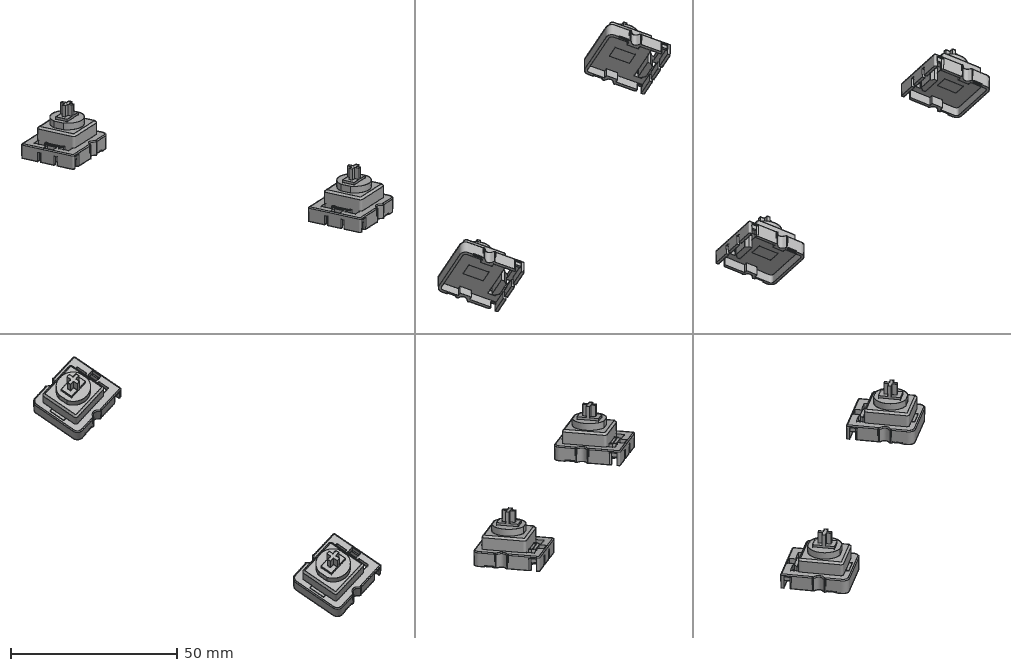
import cadquery as cq
import math

unit_pitch = 100.0

base_width = 18.3
base_back = 9.0
base_front = -11.8
base_height = 4.7
back_corner_radius = 2.0
front_corner_radius = 0.4
top_edge_chamfer = 0.35
chamfer_angle = 45.0
draft = 1.2
wall = 1.0
ceiling = 3.0

block_width = 13.2
block_length = 13.8
block_top = 9.05
block_corner_radius = 0.8
block_chamfer = 0.65
collar_diameter = 10.4
collar_flat_span = 9.9
collar_top = 11.2

lip_reach = 0.15
lip_half_length = 1.9
lip_foot_half_length = 2.15
notch_half_mouth = 1.6
notch_half_floor = 0.8
notch_edge_depth = 0.8
notch_depth = 1.1

channel_back = -9.0
channel_front = -10.75
channel_height = 2.5

inset_back = -8.4
inset_top = 3.9
inset_depth = 0.4

window_half_width = 6.0
window_front = -9.35
tongue_half_width = 3.3
tongue_tip_half_width = 2.4
tongue_shoulder = -7.9
tongue_tip = -8.8
latch_width = 3.2
latch_front = -11.2

front_slot_offset = 2.85
front_slot_width = 1.05
front_slot_height = 3.0

recess_width = 5.3
recess_length = 1.0
recess_depth = 0.2

relief_start = 2.4
relief_end = 5.3
relief_height = 0.4
relief_depth = 0.5

stem_width = 4.0
stem_length = 6.75
slider_top = 11.95
cross_span = 4.0
cross_arm = 1.1
stem_top = 15.55

half_width = base_width / 2
block_half_length = block_length / 2


def box(x_min, x_max, y_min, y_max, z_min, z_max):
    """An axis-aligned box between the given limits."""
    size = (x_max - x_min, y_max - y_min, z_max - z_min)
    return cq.Workplane("XY").box(*size, centered=False).translate((x_min, y_min, z_min))


def centred_box(width, y_min, y_max, z_min, z_max):
    """A box centred on X = 0."""
    return box(-width / 2, width / 2, y_min, y_max, z_min, z_max)


def on_both_sides(shape):
    """The shape together with its mirror image across X = 0."""
    return shape.union(shape.mirror("YZ"))


def round_corner(path, centre_x, centre_y, radius, turn):
    """Continue the path with a quarter arc; turn is -1 at a front corner and 1 at a back one."""
    diagonal = radius * math.sqrt(0.5)
    middle = (centre_x + diagonal, centre_y + turn * diagonal)
    if turn < 0:
        return path.threePointArc(middle, (centre_x + radius, centre_y))
    return path.threePointArc(middle, (centre_x, centre_y + radius))


def base_outline():
    """Footprint of the base: rounded corners, and in each side a notch between two low lips."""
    lip_x = half_width + lip_reach
    floor_x = half_width - notch_edge_depth
    front_x = half_width - front_corner_radius
    front_y = base_front + front_corner_radius
    back_x = half_width - back_corner_radius
    back_y = base_back - back_corner_radius
    path = cq.Workplane("XY").moveTo(0, base_front).lineTo(front_x, base_front)
    path = round_corner(path, front_x, front_y, front_corner_radius, -1)
    path = (
        path.lineTo(half_width, -lip_foot_half_length)
        .lineTo(lip_x, -lip_half_length)
        .lineTo(lip_x, -notch_half_mouth)
        .lineTo(floor_x, -notch_half_floor)
        .threePointArc((half_width - notch_depth, 0), (floor_x, notch_half_floor))
        .lineTo(lip_x, notch_half_mouth)
        .lineTo(lip_x, lip_half_length)
        .lineTo(half_width, lip_foot_half_length)
        .lineTo(half_width, back_y)
    )
    path = round_corner(path, back_x, back_y, back_corner_radius, 1)
    return path.lineTo(0, base_back).mirrorY()


def base_cavity():
    """Space inside the walls, leaving thicker wall behind each notch."""
    cavity = centred_box(base_width - 2 * wall, channel_front, base_back - wall, 0, ceiling)
    cavity = cavity.edges("|Z and >Y").fillet(back_corner_radius - wall)
    backing = box(half_width - notch_depth - wall, half_width, -lip_half_length, lip_half_length, 0, ceiling)
    return cavity.cut(on_both_sides(backing))


def base_box():
    """Hollow base whose walls lean outward with height and are chamfered round the top."""
    rim_z = base_height - top_edge_chamfer
    skirt = base_outline().extrude(-rim_z, taper=draft).translate((0, 0, rim_z))
    rim = base_outline().extrude(top_edge_chamfer, taper=chamfer_angle).translate((0, 0, rim_z))
    return skirt.union(rim).cut(base_cavity())


def raised_block():
    """Block with rounded upright edges and a chamfered top."""
    block = centred_box(block_width, -block_half_length, block_half_length, base_height, block_top)
    block = block.edges("|Z").fillet(block_corner_radius)
    return block.faces(">Z").edges().chamfer(block_chamfer)


def collar():
    disc = cq.Workplane("XY").workplane(offset=block_top).circle(collar_diameter / 2)
    disc = disc.extrude(collar_top - block_top)
    half_flat = collar_flat_span / 2
    return disc.intersect(centred_box(collar_diameter, -half_flat, half_flat, block_top, collar_top))


def tongue_pillar():
    """Post under the tongue, from the block to the wire channel, with chamfered front corners."""
    half_outline = [
        (tongue_half_width, -block_half_length),
        (tongue_half_width, tongue_shoulder),
        (tongue_tip_half_width, tongue_tip),
        (tongue_tip_half_width, channel_back),
    ]
    other_half = [(-x, y) for x, y in reversed(half_outline)]
    return cq.Workplane("XY").polyline(half_outline + other_half).close().extrude(base_height)


def tongue_windows():
    """Openings through the base top on both sides of the tongue."""
    window = (
        cq.Workplane("XY")
        .polyline([
            (tongue_half_width, -block_half_length),
            (window_half_width, -block_half_length),
            (window_half_width, window_front),
            (tongue_tip_half_width, window_front),
            (tongue_tip_half_width, tongue_tip),
            (tongue_half_width, tongue_shoulder),
        ])
        .close()
        .extrude(base_height)
    )
    return on_both_sides(window)


def latch_opening():
    return centred_box(latch_width, latch_front, channel_back, ceiling, base_height)


def wire_channel():
    return centred_box(base_width, channel_front, channel_back, 0, channel_height)


def corner_insets():
    """Steps in the outer side faces above the wire channel, sloping out to the side walls."""
    inset_x = half_width - inset_depth
    inset = (
        cq.Workplane("XY")
        .polyline([
            (base_width, channel_front),
            (inset_x, channel_front),
            (inset_x, channel_back),
            (half_width, inset_back),
            (base_width, inset_back),
        ])
        .close()
        .extrude(inset_top)
    )
    return on_both_sides(inset)


def front_slots():
    inner = front_slot_offset - front_slot_width / 2
    slot = box(inner, inner + front_slot_width, base_front, channel_front, 0, front_slot_height)
    return on_both_sides(slot)


def top_recesses():
    floor_z = base_height - recess_depth
    outer_y = block_half_length + recess_length
    recess = centred_box(recess_width, block_half_length, outer_y, floor_z, base_height)
    return recess.union(recess.mirror("XZ"))


def side_reliefs():
    relief = box(half_width - relief_depth, base_width, relief_start, relief_end, 0, relief_height)
    return on_both_sides(relief)


def slider():
    half_length = stem_length / 2
    return centred_box(stem_width, -half_length, half_length, ceiling, slider_top)


def make_housing():
    body = base_box().union(raised_block()).union(collar()).union(tongue_pillar())
    cuts = [
        corner_insets(), tongue_windows(), latch_opening(), wire_channel(),
        front_slots(), top_recesses(), side_reliefs(), slider(),
    ]
    for cut in cuts:
        body = body.cut(cut)
    return body


def make_stem():
    half_span = cross_span / 2
    half_arm = cross_arm / 2
    along_y = centred_box(cross_arm, -half_span, half_span, slider_top, stem_top)
    along_x = centred_box(cross_span, -half_arm, half_arm, slider_top, stem_top)
    return slider().union(along_y).union(along_x)


bodies = []
for unit_x in (-unit_pitch / 2, unit_pitch / 2):
    housing = make_housing().translate((unit_x, 0, 0))
    stem = make_stem().translate((unit_x, 0, 0))
    bodies += [housing.solids().val(), stem.val()]

result = cq.Compound.makeCompound(bodies)